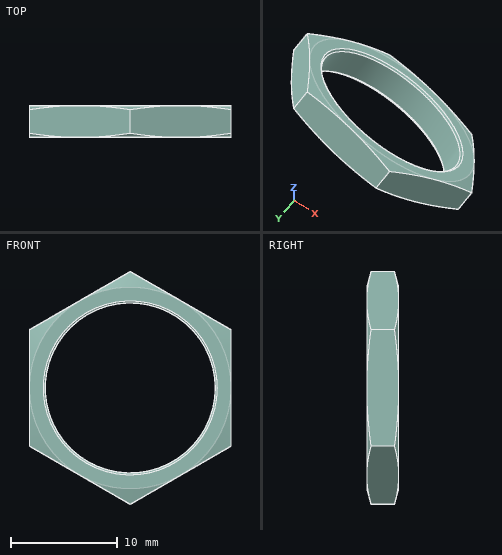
import cadquery as cq
import math

across_corners = 21.95
thickness = 3.0
bore_diameter = 16.0
bore_chamfer = 0.2
corner_chamfer_angle = 15.0

corner_radius = across_corners / 2
flat_radius = corner_radius * math.cos(math.radians(30))
half_thickness = thickness / 2
corner_drop = (corner_radius - flat_radius) * math.tan(math.radians(corner_chamfer_angle))


def hexagonal_ring():
    """Hexagonal plate with a through bore, chamfered at both bore edges."""
    corners = [
        (
            corner_radius * math.sin(math.radians(60 * i)),
            corner_radius * math.cos(math.radians(60 * i)),
        )
        for i in range(6)
    ]
    plate = cq.Workplane("XZ").polyline(corners).close().extrude(half_thickness, both=True)
    bore = cq.Workplane("XZ").circle(bore_diameter / 2).extrude(half_thickness, both=True)
    return plate.cut(bore).edges("%CIRCLE").chamfer(bore_chamfer)


def corner_chamfer_envelope():
    """Turned disc whose conical faces meet each end face at the across-flats circle."""
    edge_height = half_thickness - corner_drop
    half_profile = [
        (0, -half_thickness),
        (flat_radius, -half_thickness),
        (corner_radius, -edge_height),
        (corner_radius, edge_height),
        (flat_radius, half_thickness),
        (0, half_thickness),
    ]
    return cq.Workplane("XY").polyline(half_profile).close().revolve(360, (0, 0), (0, 1))


result = hexagonal_ring().intersect(corner_chamfer_envelope())